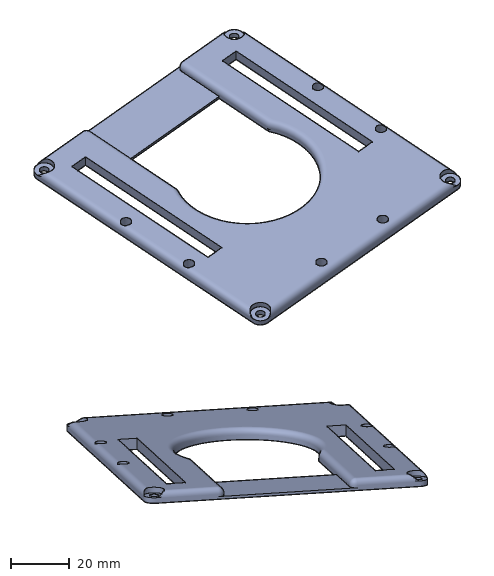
import cadquery as cq

length = 110.0
width = 100.0
thickness = 4.0
corner_radius = 3.5
rim_round = 2.2

bridge_thickness = 1.0
bridge_length = 20.0

hole_radius = 25.0
channel_half_width = 22.2

slot_length = 64.9
slot_width = 6.7
slot_center_x = -12.0
slot_center_y = 36.8

screw_diameter = 3.2
counterbore_diameter = 2 * corner_radius
counterbore_floor = 2.0

edge_hole_diameter = 3.8
edge_hole_spacing = 30.0
side_pair_center_x = 3.0
side_hole_y = 47.0
end_hole_x = 49.9


def plate_layer(bottom, top):
    """Rounded rectangle between two heights."""
    return (
        cq.Workplane("XY", origin=(0, 0, bottom))
        .rect(length, width)
        .extrude(top - bottom)
        .edges("|Z")
        .fillet(corner_radius)
    )


def opening(channel_start):
    """Round hole plus a channel reaching from channel_start to the hole centre."""
    channel = (
        cq.Workplane("XY")
        .rect(-channel_start, 2 * channel_half_width)
        .extrude(thickness)
        .translate((channel_start / 2, 0, 0))
    )
    return cq.Workplane("XY").circle(hole_radius).extrude(thickness).union(channel)


def upper_layer():
    """C-shaped layer with its mouth corners and whole top rim rounded."""
    layer = plate_layer(bridge_thickness, thickness).cut(opening(-length / 2))
    inner_edges = cq.selectors.BoxSelector(
        (-length, -hole_radius, 0),
        (0, hole_radius, thickness),
    )
    layer = layer.edges("|Z").edges(inner_edges).fillet(rim_round)
    return layer.faces(">Z").edges().fillet(rim_round)


def lower_layer():
    """Thin base layer that keeps the bridge at the -X end."""
    return plate_layer(0, bridge_thickness).cut(opening(bridge_length - length / 2))


def through_holes(points, diameter):
    return cq.Workplane("XY").pushPoints(points).circle(diameter / 2).extrude(thickness)


corner_x = length / 2 - corner_radius
corner_y = width / 2 - corner_radius
corner_points = [(sx * corner_x, sy * corner_y) for sx in (-1, 1) for sy in (-1, 1)]
half_spacing = edge_hole_spacing / 2
side_points = [
    (side_pair_center_x + sx * half_spacing, sy * side_hole_y) for sx in (-1, 1) for sy in (-1, 1)
]
end_points = [(end_hole_x, sy * half_spacing) for sy in (-1, 1)]

slots = (
    cq.Workplane("XY")
    .pushPoints([(slot_center_x, sy * slot_center_y) for sy in (-1, 1)])
    .rect(slot_length, slot_width)
    .extrude(thickness)
)
counterbores = (
    cq.Workplane("XY", origin=(0, 0, counterbore_floor))
    .pushPoints(corner_points)
    .circle(counterbore_diameter / 2)
    .extrude(thickness - counterbore_floor)
)

result = (
    lower_layer()
    .union(upper_layer())
    .cut(slots)
    .cut(counterbores)
    .cut(through_holes(corner_points, screw_diameter))
    .cut(through_holes(side_points + end_points, edge_hole_diameter))
)